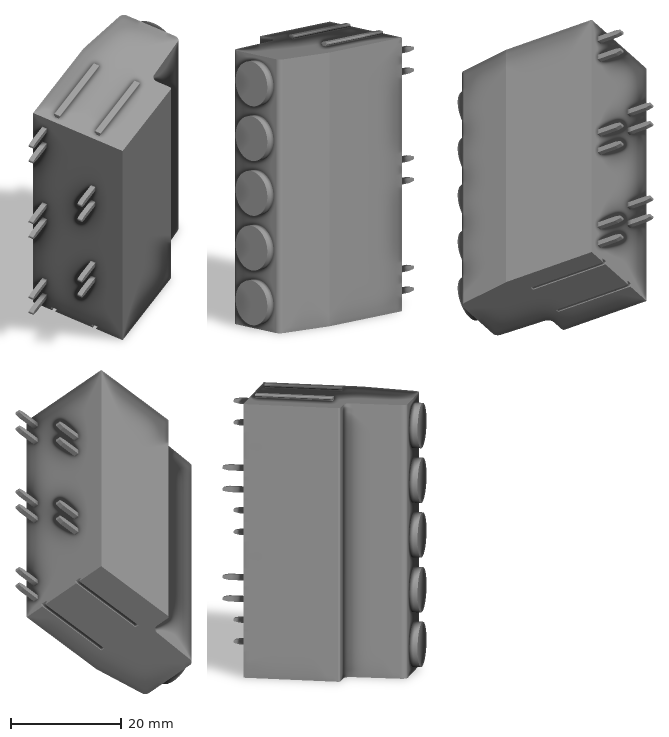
import cadquery as cq

pole_count = 5
pole_pitch = 10.15
rib_height = 0.75
body_height = pole_count * pole_pitch

body_width = 18.7
body_depth = 29.25
slope_start = 18.3
slope_top_x = 1.85
shelf_depth = 17.9
shelf_corner_x = 14.4
right_top_x = 13.9
crown_radius = 1.05
shelf_radius = 1.3
shelf_edge_radius = 0.4

screw_diameter = 8.25
screw_height = 1.55
screw_x = 7.5

pin_length = 5.0
pin_width = 0.95
pin_thickness = 1.0
pin_pair_spacing = 4.0
pin_column_x = 2.4
pin_taper_start = 3.85
pin_tip_thickness = 0.5
pin_tip_radius = 0.2

rib_centers_x = (4.35, 12.85)
rib_width = 1.25
rib_neck_width = 0.7
rib_edge_radius = 0.15
rib_neck_height = 0.2
rib_lip_bottom = 0.4
rib_start = 1.15
rib_end = 15.45

embed = 0.5


def make_housing():
    outline = [
        (0, 0),
        (0, slope_start),
        (slope_top_x, body_depth),
        (right_top_x, body_depth),
        (shelf_corner_x, shelf_depth),
        (body_width, shelf_depth),
        (body_width, 0),
    ]

    def upright_edge(x, y):
        return cq.selectors.NearestToPointSelector((x, y, body_height / 2))

    housing = cq.Workplane("XY").polyline(outline).close().extrude(body_height)
    housing = housing.edges(upright_edge(slope_top_x, body_depth)).fillet(crown_radius)
    housing = housing.edges(upright_edge(right_top_x, body_depth)).fillet(crown_radius)
    housing = housing.edges(upright_edge(shelf_corner_x, shelf_depth)).fillet(shelf_radius)
    return housing.edges(upright_edge(body_width, shelf_depth)).fillet(shelf_edge_radius)


def make_screw(z):
    length = screw_height + embed
    screw = cq.Workplane("XZ").circle(screw_diameter / 2).extrude(-length)
    return screw.translate((screw_x, body_depth - embed, z))


def make_pin(x, z):
    """Flat pin whose end tapers in Z to a rounded tip."""
    half = pin_thickness / 2
    tip_half = pin_tip_thickness / 2
    outline = [
        (embed, -half),
        (-pin_taper_start, -half),
        (-pin_length, -tip_half),
        (-pin_length, tip_half),
        (-pin_taper_start, half),
        (embed, half),
    ]
    pin = cq.Workplane("YZ").polyline(outline).close().extrude(pin_width / 2, both=True)
    pin = pin.faces("<Y").edges("|X").fillet(pin_tip_radius)
    return pin.translate((x, 0, z))


def make_dovetail(x, start, end):
    """Bar along Y standing on Z = 0, with a narrow neck under a wide, round-edged lip."""
    half = rib_width / 2
    neck_half = rib_neck_width / 2
    section = [
        (-neck_half, 0),
        (-neck_half, rib_neck_height),
        (-half, rib_lip_bottom),
        (-half, rib_height),
        (half, rib_height),
        (half, rib_lip_bottom),
        (neck_half, rib_neck_height),
        (neck_half, 0),
    ]
    bar = cq.Workplane("XZ").polyline(section).close().extrude(start - end)
    bar = bar.faces(">Z").edges("|Y").fillet(rib_edge_radius)
    return bar.translate((x, start, 0))


result = make_housing()

for rib_x in rib_centers_x:
    result = result.cut(make_dovetail(rib_x, 0, rib_end))
    result = result.union(make_dovetail(rib_x, rib_start, rib_end).translate((0, 0, body_height)))

for pole in range(pole_count):
    pole_z = (pole + 0.5) * pole_pitch
    pin_x = pin_column_x + (pole % 2) * pole_pitch
    result = result.union(make_screw(pole_z))
    for side in (-1, 1):
        result = result.union(make_pin(pin_x, pole_z + side * pin_pair_spacing / 2))